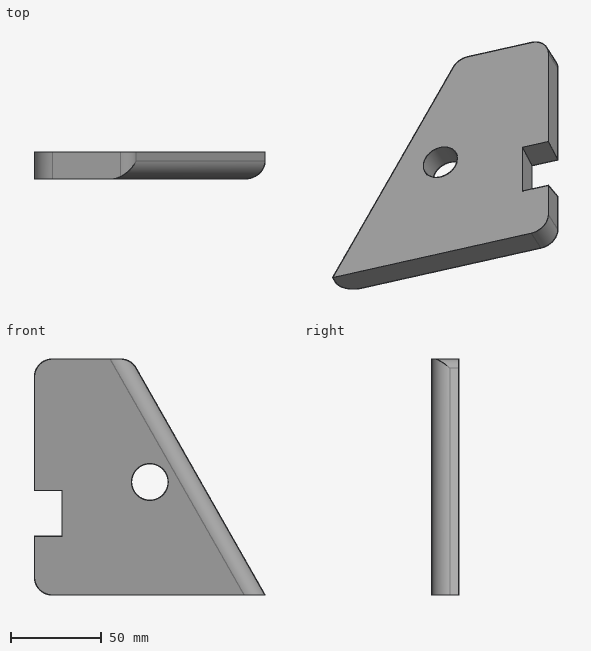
import cadquery as cq

height = 130.0
base_width = 127.0
top_width = 53.2
thickness = 15.0
round_radius = 10.0

hole_diameter = 20.0
hole_x = 63.6
hole_z = 62.3

notch_depth = 15.2
notch_center_z = 45.0
notch_front_width = 25.0
notch_back_width = 29.8


def plate():
    """Sharp-cornered trapezoid, front face at Y = 0 and back at Y = thickness."""
    outline = [(0, 0), (base_width, 0), (top_width, height), (0, height)]
    return cq.Workplane("XZ").polyline(outline).close().extrude(-thickness)


def notch_cutter():
    """Dovetail-like block whose section in the YZ plane is a trapezoid."""
    front_half = notch_front_width / 2
    back_half = notch_back_width / 2
    section = [
        (0, notch_center_z - front_half),
        (thickness, notch_center_z - back_half),
        (thickness, notch_center_z + back_half),
        (0, notch_center_z + front_half),
    ]
    return cq.Workplane("YZ").polyline(section).close().extrude(notch_depth)


slope_middle = ((base_width + top_width) / 2, 0, height / 2)
slope_rounded = plate().edges(cq.NearestToPointSelector(slope_middle)).fillet(round_radius)

corners_rounded = plate().edges("|Y").edges("<X or >Z").fillet(round_radius)

hole = (
    cq.Workplane("XZ")
    .center(hole_x, hole_z)
    .circle(hole_diameter / 2)
    .extrude(-thickness)
)

result = slope_rounded.intersect(corners_rounded).cut(notch_cutter()).cut(hole)